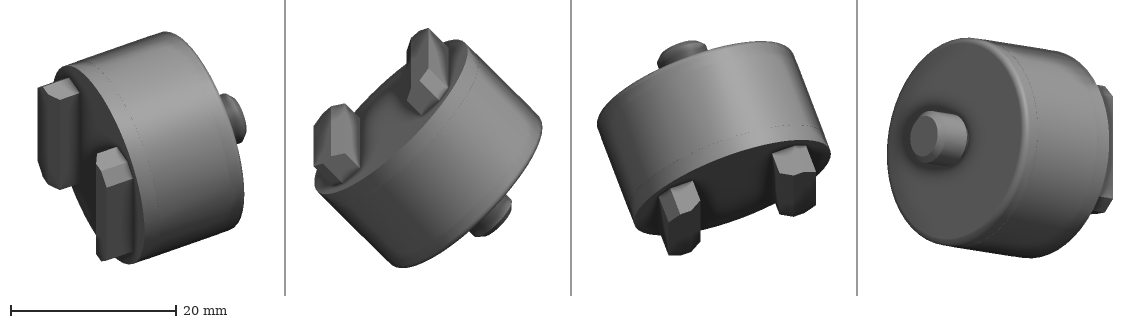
import cadquery as cq
import math


body_diameter = 25.4
band_diameter = 25.45
body_length = 13.75
band_inset = 2.03
rim_radius = 0.75

stud_diameter = 6.35
neck_diameter = 4.95
stud_height = 5.05
neck_length = 0.2
stud_chamfer = (stud_diameter - neck_diameter) / 2

lug_outer_x = 9.5
lug_width = 4.4
lug_length = 15.55
lug_height = 3.55
lug_corner = 1.5
lug_bevel_width = 1.5
lug_bevel_angle = 30
lug_bevel_depth = lug_bevel_width * math.tan(math.radians(lug_bevel_angle))


def disc(diameter, start_y, length):
    """Cylinder on the Y axis, from start_y toward +Y."""
    plane = cq.Workplane("XZ", origin=(0, start_y, 0))
    return plane.circle(diameter / 2).extrude(-length)


def make_body():
    core = disc(body_diameter, 0, body_length).faces(">Y").edges().fillet(rim_radius)
    band = disc(band_diameter, band_inset, body_length - 2 * band_inset)
    return core.union(band)


def make_stud():
    neck = disc(neck_diameter, body_length, neck_length)
    pin = disc(stud_diameter, body_length + neck_length, stud_height - neck_length)
    pin = pin.faces("<Y or >Y").edges().chamfer(stud_chamfer)
    return neck.union(pin)


def make_lug():
    """Lug on the +X side."""
    inner_x = lug_outer_x - lug_width
    bar = cq.Workplane("XY").box(lug_width, lug_height, lug_length)
    bar = bar.translate((inner_x + lug_width / 2, -lug_height / 2, 0))
    bar = bar.edges("|Y and >X").chamfer(lug_corner)
    bevel = (
        cq.Workplane("XY", origin=(0, 0, -lug_length / 2))
        .moveTo(inner_x, -lug_height)
        .lineTo(inner_x + lug_bevel_width, -lug_height)
        .lineTo(inner_x, -lug_height + lug_bevel_depth)
        .close()
        .extrude(lug_length)
    )
    return bar.cut(bevel)


lug = make_lug()
result = make_body().union(make_stud()).union(lug).union(lug.mirror("YZ"))